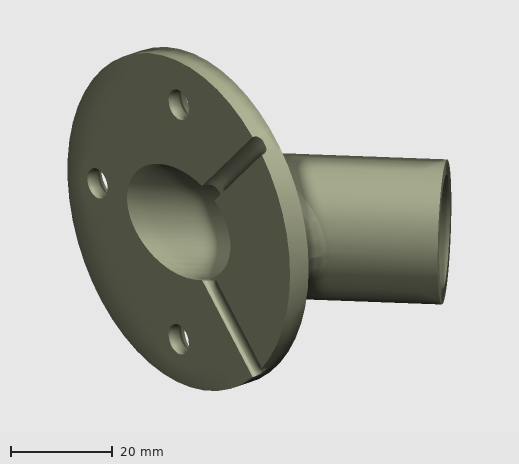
import cadquery as cq
import math

flange_radius = 34.25
rim_thickness = 4.75
cone_angle = 5.7
cone_height = flange_radius * math.tan(math.radians(cone_angle))

tube_radius = 14.25
bore_radius = 11.25
tube_angle = 45.0
tube_reach = 47.1
lean_cos = math.cos(math.radians(tube_angle))
lean_sin = math.sin(math.radians(tube_angle))
tube_length = (tube_reach - tube_radius * lean_sin) / lean_cos
overrun = 2 * tube_radius
blend_radius = 4.0

hole_radius = 3.1
screw_circle_radius = 25.0
screw_head_radius = 5.1
countersink_angle = 90.0
screw_hole_angles = (90, 180, 270)
end_hole_inset = 6.7
tube_hole_spacing = 18.0

groove_width = 4.0
groove_depth = 1.75
groove_corner_radius = 1.5
groove_angles = (45, -45)


def tube_cylinder(radius):
    """Cylinder on the tube axis, running past the flange face on the -Y side."""
    direction = cq.Vector(lean_cos, lean_sin, 0)
    start = direction * -overrun
    return cq.Workplane(cq.Solid.makeCylinder(radius, tube_length + overrun, start, direction))


def make_flange():
    profile = (
        cq.Workplane("XY")
        .lineTo(flange_radius, 0)
        .lineTo(flange_radius, rim_thickness)
        .lineTo(0, rim_thickness + cone_height)
        .close()
    )
    return profile.revolve(360, (0, 0, 0), (0, 1, 0))


def make_tube():
    """Outer tube, cut off level with the flange face."""
    block_size = 4 * tube_length
    back_side = cq.Workplane("XY").box(block_size, block_size, block_size, centered=(True, False, True))
    return tube_cylinder(tube_radius).intersect(back_side)


def blend_tube_to_flange(body):
    """Round the corner where the tube leaves the cone."""
    seam = body.edges("not(%LINE or %CIRCLE)")
    return seam.fillet(blend_radius)


def flange_screw_hole(angle):
    """Straight hole, countersunk up to the rim height, with a screw head recess through the cone."""
    countersink_depth = (screw_head_radius - hole_radius) / math.tan(math.radians(countersink_angle / 2))
    countersink_start = rim_thickness - countersink_depth
    top = rim_thickness + cone_height
    profile = (
        cq.Workplane("XY")
        .lineTo(hole_radius, 0)
        .lineTo(hole_radius, countersink_start)
        .lineTo(screw_head_radius, rim_thickness)
        .lineTo(screw_head_radius, top)
        .lineTo(0, top)
        .close()
    )
    hole = profile.revolve(360, (0, 0, 0), (0, 1, 0))
    return hole.translate((screw_circle_radius, 0, 0)).rotate((0, 0, 0), (0, 1, 0), angle)


def tube_screw_hole(distance):
    """Hole through the upper wall only, square to the tube axis."""
    start = cq.Vector(distance * lean_cos, distance * lean_sin, 0)
    outward = cq.Vector(-lean_sin, lean_cos, 0)
    return cq.Workplane(cq.Solid.makeCylinder(hole_radius, 2 * tube_radius, start, outward))


def face_groove(angle):
    """Straight groove from the bore to the rim, at an angle from +X about the Y axis."""
    return (
        cq.Workplane("XY")
        .box(2 * flange_radius, 2 * groove_depth, groove_width, centered=(False, True, True))
        .edges("|X and >Y")
        .fillet(groove_corner_radius)
        .rotate((0, 0, 0), (0, 1, 0), angle)
    )


body = make_flange().union(make_tube())
body = blend_tube_to_flange(body)
body = body.cut(tube_cylinder(bore_radius))
for angle in screw_hole_angles:
    body = body.cut(flange_screw_hole(angle))
for inset in (end_hole_inset, end_hole_inset + tube_hole_spacing):
    body = body.cut(tube_screw_hole(tube_length - inset))
for angle in groove_angles:
    body = body.cut(face_groove(angle))
result = body